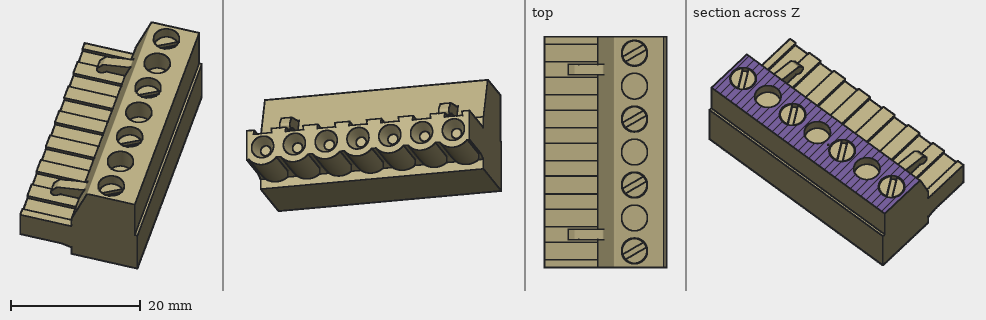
import cadquery as cq
import math


length_x = 18.85
width_y = 35.6
height_z = 15.5

pole_count = 7
pole_end_margin = 2.55
pole_pitch = (width_y - 2 * pole_end_margin) / (pole_count - 1)

body_front_x = 8.22
body_back_x = 18.4
back_step_z = 8.05
slope_bottom_z = 8.5
slope_top_x = 10.75
top_edge_radius = 0.3

shelf_top_z = 6.73
shelf_web_z = 2.0
socket_z = 3.85
barrel_radius = 2.9
ramp_start_x = 6.7
ramp_end_z = 1.55

groove_floor_z = 6.05
groove_top_width = 2.7
groove_floor_width = 2.92

socket_mouth_diameter = 3.52
socket_end_diameter = 1.6
socket_depth = 1.85

well_x = 13.9
well_diameter = 4.0
well_depth = 3.55
screw_diameter = 3.8
screw_recess = 1.85
screw_slot_width = 0.9
screw_slot_depth = 0.7
screw_slot_angle = 30

latch_width = 1.65
latch_offset_y = (pole_count / 2 - 1) * pole_pitch
latch_tip_x = 4.27
latch_tip_z = 8.5
latch_tip_radius = 0.6
latch_inner_angle = -50
latch_under_x = 5.27
latch_under_z = 8.47
latch_knee_x = 4.7
latch_knee_z = 10.0
latch_root_z = 10.8
latch_root_x = body_front_x + (slope_top_x - body_front_x) * (
    (latch_root_z - slope_bottom_z) / (height_z - slope_bottom_z)
)
latch_knee_radius = 0.55
latch_root_radius = 0.45

pole_ys = [(i - (pole_count - 1) / 2) * pole_pitch for i in range(pole_count)]


def extrude_across(profile, width):
    """Extrude an XZ profile symmetrically about the plane Y = 0."""
    return profile.extrude(width / 2, both=True)


def make_body():
    profile = (
        cq.Workplane("XZ")
        .moveTo(body_front_x, 0)
        .lineTo(length_x, 0)
        .lineTo(length_x, back_step_z)
        .lineTo(body_back_x, back_step_z)
        .lineTo(body_back_x, height_z)
        .lineTo(slope_top_x, height_z)
        .lineTo(body_front_x, slope_bottom_z)
        .close()
    )
    top_edge = cq.selectors.NearestToPointSelector((slope_top_x, 0, height_z))
    return extrude_across(profile, width_y).edges(top_edge).fillet(top_edge_radius)


def make_shelf():
    """Plug shelf: a web with a rounded barrel under every pole, ramping down into the body."""
    web_profile = (
        cq.Workplane("XZ")
        .moveTo(0, shelf_web_z)
        .lineTo(ramp_start_x, shelf_web_z)
        .lineTo(body_front_x, ramp_end_z)
        .lineTo(body_front_x, shelf_top_z)
        .lineTo(0, shelf_top_z)
        .close()
    )
    shelf = extrude_across(web_profile, width_y)
    envelope = cq.Workplane().box(body_front_x, width_y, shelf_top_z, centered=(False, True, False))
    for y in pole_ys:
        barrel = (
            cq.Workplane("YZ")
            .center(y, socket_z)
            .circle(barrel_radius)
            .extrude(body_front_x)
        )
        shelf = shelf.union(barrel.intersect(envelope))
    return shelf


def make_groove(y):
    return (
        cq.Workplane("YZ")
        .moveTo(y - groove_floor_width / 2, groove_floor_z)
        .lineTo(y + groove_floor_width / 2, groove_floor_z)
        .lineTo(y + groove_top_width / 2, shelf_top_z)
        .lineTo(y - groove_top_width / 2, shelf_top_z)
        .close()
        .extrude(body_front_x)
    )


def make_socket(y):
    mouth_radius = socket_mouth_diameter / 2
    end_radius = socket_end_diameter / 2
    cone = cq.Solid.makeCone(
        mouth_radius, end_radius, socket_depth, cq.Vector(0, y, socket_z), cq.Vector(1, 0, 0)
    )
    return cq.Workplane(cone)


def make_well(y):
    return (
        cq.Workplane(origin=(well_x, y, height_z - well_depth))
        .circle(well_diameter / 2)
        .extrude(well_depth)
    )


def make_screw(y):
    """Slotted screw head standing on the floor of a well."""
    head_height = well_depth - screw_recess
    head = (
        cq.Workplane(origin=(well_x, y, height_z - well_depth))
        .circle(screw_diameter / 2)
        .extrude(head_height)
    )
    slot = (
        cq.Workplane()
        .box(well_diameter, screw_slot_width, screw_slot_depth, centered=(True, True, False))
        .rotate((0, 0, 0), (0, 0, 1), screw_slot_angle)
        .translate((well_x, y, height_z - screw_recess - screw_slot_depth))
    )
    return head.cut(slot)


def make_latch(y):
    """Hooked arm with a round tip, rooted in the sloping face of the body."""
    knee_dx = latch_knee_x - latch_tip_x
    knee_dz = latch_knee_z - latch_tip_z
    knee_angle = math.atan2(knee_dz, knee_dx)
    tangent_angle = knee_angle + math.acos(latch_tip_radius / math.hypot(knee_dx, knee_dz))
    inner_angle = math.radians(latch_inner_angle)
    middle_angle = (tangent_angle + inner_angle + 2 * math.pi) / 2

    def tip_point(angle):
        return (
            latch_tip_x + latch_tip_radius * math.cos(angle),
            latch_tip_z + latch_tip_radius * math.sin(angle),
        )

    profile = (
        cq.Workplane("XZ")
        .moveTo(*tip_point(tangent_angle))
        .threePointArc(tip_point(middle_angle), tip_point(inner_angle))
        .lineTo(latch_under_x, latch_under_z)
        .lineTo(latch_root_x, latch_under_z)
        .lineTo(latch_root_x, latch_root_z)
        .lineTo(latch_knee_x, latch_knee_z)
        .close()
    )
    knee_edge = cq.selectors.NearestToPointSelector((latch_knee_x, 0, latch_knee_z))
    arm = extrude_across(profile, latch_width).edges(knee_edge).fillet(latch_knee_radius)
    return arm.translate((0, y, 0))


result = make_body().union(make_shelf())

for latch_y in (-latch_offset_y, latch_offset_y):
    root_edge = cq.selectors.NearestToPointSelector((latch_root_x, latch_y, latch_root_z))
    result = result.union(make_latch(latch_y)).edges(root_edge).fillet(latch_root_radius)

for index, pole_y in enumerate(pole_ys):
    result = result.cut(make_groove(pole_y)).cut(make_socket(pole_y)).cut(make_well(pole_y))
    if index % 2 == 0:
        result = result.union(make_screw(pole_y))